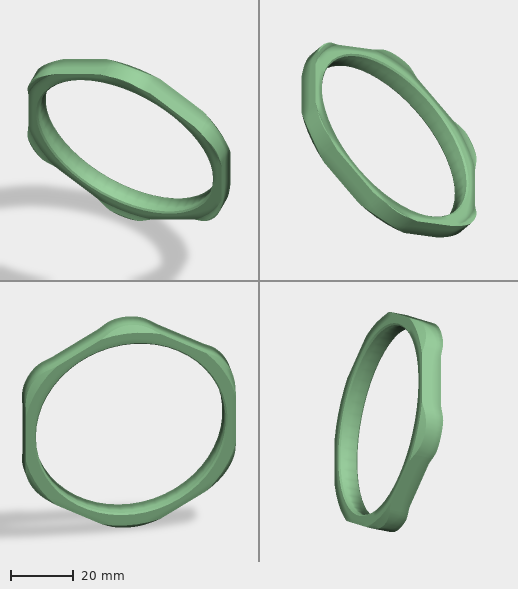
import cadquery as cq
import math

across_flats = 68.0
across_corners = 73.9
thickness = 7.5
bore_diameter = 61.5
bore_chamfer = 0.5

pad_height = 0.9
pad_inner_radius = 35.1
pad_top_radius = 36.4

back_cone_radius = 35.0
back_cone_depth = 1.9

corner_radius = across_corners / 2
vertex_radius = across_flats / 2 / math.cos(math.radians(30))
setback_share = 1 / math.cos(math.radians(30)) - 1
corner_round = (vertex_radius - corner_radius) / setback_share

back_y = thickness / 2
pad_y = -thickness / 2
face_y = pad_y + pad_height


def rounded_hexagon():
    """Hexagonal prism along Y, with vertices on the Z axis and rounded corners."""
    vertices = []
    for corner in range(6):
        angle = math.radians(90 + 60 * corner)
        vertices.append((vertex_radius * math.cos(angle), vertex_radius * math.sin(angle)))
    prism = cq.Workplane("XZ", origin=(0, back_y, 0)).polyline(vertices).close().extrude(thickness)
    return prism.edges("|Y").fillet(corner_round)


def turned_envelope():
    """Ring revolved about Y with the bore, pad ramps and corner bevels."""
    bore_radius = bore_diameter / 2
    profile = [
        (bore_radius, back_y - bore_chamfer),
        (bore_radius + bore_chamfer, back_y),
        (back_cone_radius, back_y),
        (corner_radius, back_y - back_cone_depth),
        (corner_radius, pad_y),
        (pad_top_radius, pad_y),
        (pad_inner_radius, face_y),
        (bore_radius + bore_chamfer, face_y),
        (bore_radius, face_y + bore_chamfer),
    ]
    return cq.Workplane("XY").polyline(profile).close().revolve(360, (0, 0, 0), (0, 1, 0))


result = turned_envelope().intersect(rounded_hexagon())